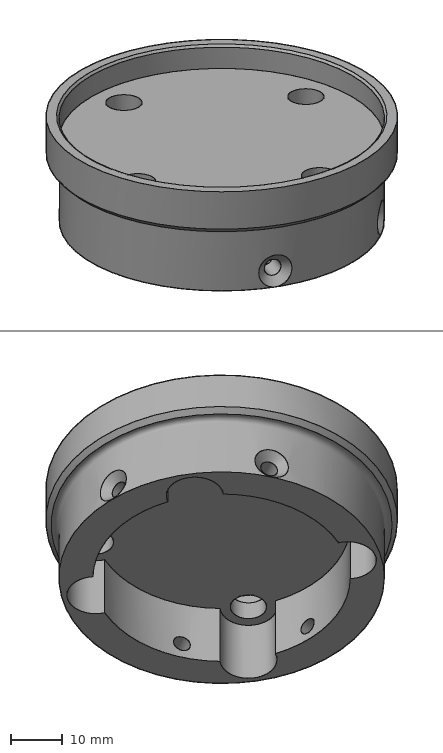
import cadquery as cq
import math

rim_radius = 34.0
neck_radius = 31.5
height = 22.5
rim_height = 9.05
rim_chamfer = 1.0
neck_fillet = 1.0
rim_bottom = height - rim_height

pocket_radius = 31.5
pocket_depth = 5.0
pocket_chamfer = 0.5

screw_count = 4
screw_circle_radius = 24.95
screw_hole_diameter = 7.0
counterbore_diameter = 11.0
web_thickness = 4.0
recess_depth = height - pocket_depth - web_thickness

recess_radius = 24.9

radial_angles = (30, 150, 210, 330)
radial_hole_z = 3.5
radial_hole_radius = 1.7
mouth_chamfer = 1.7


def make_body():
    """Revolve the rim and neck, with the bottom rim chamfer and the concave neck fillet."""
    arc_middle = neck_fillet * (1 - math.sqrt(0.5))
    profile = (
        cq.Workplane("XZ")
        .lineTo(neck_radius, 0)
        .lineTo(neck_radius, rim_bottom - neck_fillet)
        .threePointArc(
            (neck_radius + arc_middle, rim_bottom - arc_middle),
            (neck_radius + neck_fillet, rim_bottom),
        )
        .lineTo(rim_radius - rim_chamfer, rim_bottom)
        .lineTo(rim_radius, rim_bottom + rim_chamfer)
        .lineTo(rim_radius, height)
        .lineTo(0, height)
        .close()
    )
    return profile.revolve(360, (0, 0), (0, 1))


def make_pocket():
    """Top pocket with a chamfered mouth."""
    mouth_radius = pocket_radius + pocket_chamfer
    floor_z = height - pocket_depth
    return (
        cq.Workplane("XZ")
        .moveTo(0, floor_z)
        .lineTo(pocket_radius, floor_z)
        .lineTo(pocket_radius, height - pocket_chamfer)
        .lineTo(mouth_radius, height)
        .lineTo(0, height)
        .close()
        .revolve(360, (0, 0), (0, 1))
    )


def make_recess():
    """Bottom recess merged with the counterbores, plus the screw holes."""
    recess = cq.Workplane("XY").circle(recess_radius).extrude(recess_depth)
    screw_places = cq.Workplane("XY").polarArray(screw_circle_radius, 0, 360, screw_count)
    counterbores = screw_places.circle(counterbore_diameter / 2).extrude(recess_depth)
    screw_holes = screw_places.circle(screw_hole_diameter / 2).extrude(height)
    return recess.union(counterbores).union(screw_holes)


def make_radial_hole(angle):
    """Cylinder running from the centre axis out past the neck surface at the given angle."""
    direction = cq.Vector(math.cos(math.radians(angle)), math.sin(math.radians(angle)), 0)
    start = cq.Vector(0, 0, radial_hole_z)
    return cq.Workplane(obj=cq.Solid.makeCylinder(radial_hole_radius, rim_radius, start, direction))


def chamfer_hole_mouth(body, angle):
    """Bevel the edge where a radial hole meets the outside of the neck."""
    mouth_x = neck_radius * math.cos(math.radians(angle))
    mouth_y = neck_radius * math.sin(math.radians(angle))
    mouth = cq.selectors.NearestToPointSelector((mouth_x, mouth_y, radial_hole_z))
    return body.edges(mouth).chamfer(mouth_chamfer)


result = make_body().cut(make_pocket()).cut(make_recess())
for hole_angle in radial_angles:
    result = result.cut(make_radial_hole(hole_angle))
    result = chamfer_hole_mouth(result, hole_angle)